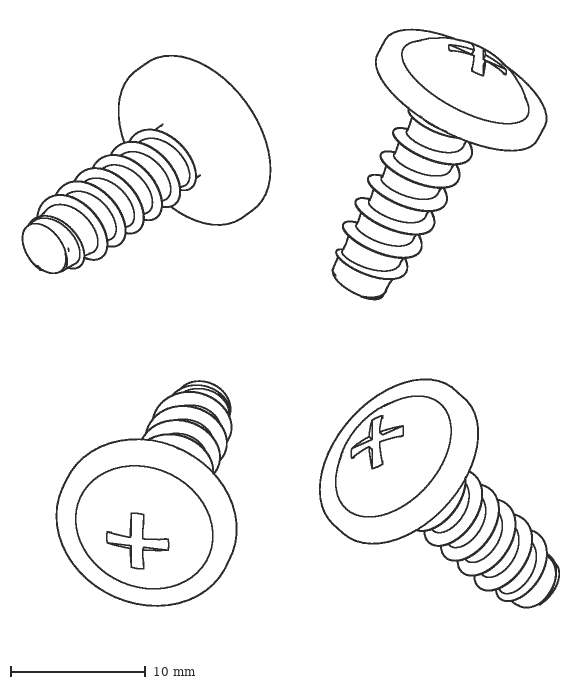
import cadquery as cq
import math


flange_diameter = 13.5
flange_thickness = 1.45
flange_edge_radius = 0.1
dome_height = 2.5
dome_base_radius = 5.25
slot_width = 0.95
slot_depth = 0.43

shank_length = 16.95
neck_radius = 2.35
neck_fillet = 0.84
neck_end = 1.45
neck_taper_length = 0.95
core_radius = 2.13
tip_radius = 2.04
tip_taper_length = 0.35
tip_cone_height = 0.04

pitch = 2.145
crest_radius = 3.0
crest_width = 0.06
knee_radius = 2.55
shoulder_radius = 2.31
sunk_radius = 2.10
buried_radius = 1.85
flank_start = 0.48
knee_offset = 0.20
shoulder_offset = 0.27
shoulder_end = 1.47
reference_depth = 2.53

thread_first_turn = -0.75
full_height_first_turn = 0.5
full_height_last_turn = 5.25
fade_last_turn = 6.6
turn_count = 8
samples_per_turn = 32
start_height = 0.2
end_height = 0.03


def make_head():
    flange = (
        cq.Workplane("XZ")
        .circle(flange_diameter / 2)
        .extrude(-flange_thickness)
        .edges()
        .fillet(flange_edge_radius)
    )
    sphere_radius = (dome_base_radius**2 + dome_height**2) / (2 * dome_height)
    apex_y = flange_thickness + dome_height
    mid_angle = math.asin(dome_base_radius / sphere_radius) / 2
    mid_point = (
        sphere_radius * math.sin(mid_angle),
        apex_y - sphere_radius * (1 - math.cos(mid_angle)),
    )
    overlap_y = flange_thickness / 2
    dome = (
        cq.Workplane("XY")
        .moveTo(0, overlap_y)
        .lineTo(dome_base_radius, overlap_y)
        .lineTo(dome_base_radius, flange_thickness)
        .threePointArc(mid_point, (0, apex_y))
        .close()
        .revolve(360, (0, 0, 0), (0, 1, 0))
    )
    slot_length = 2 * dome_base_radius
    slot_center = (0, apex_y, 0)
    slot_x = cq.Workplane("XY").box(slot_length, 2 * slot_depth, slot_width).translate(slot_center)
    slot_z = cq.Workplane("XY").box(slot_width, 2 * slot_depth, slot_length).translate(slot_center)
    return flange.union(dome).cut(slot_x).cut(slot_z)


def make_core():
    overlap_y = flange_thickness / 2
    fillet_outer = neck_radius + neck_fillet
    fillet_inset = neck_fillet * (1 - math.sqrt(0.5))
    return (
        cq.Workplane("XY")
        .moveTo(0, overlap_y)
        .lineTo(fillet_outer, overlap_y)
        .lineTo(fillet_outer, 0)
        .threePointArc((neck_radius + fillet_inset, -fillet_inset), (neck_radius, -neck_fillet))
        .lineTo(neck_radius, -neck_end)
        .lineTo(core_radius, -neck_end - neck_taper_length)
        .lineTo(core_radius, -shank_length + tip_taper_length)
        .lineTo(tip_radius, -shank_length)
        .lineTo(0, -shank_length - tip_cone_height)
        .close()
        .revolve(360, (0, 0, 0), (0, 1, 0))
    )


def start_growth(turn):
    """Share of the full height that the thread has reached near the head."""
    progress = (turn - thread_first_turn) / (full_height_first_turn - thread_first_turn)
    return min(start_height + (1 - start_height) * progress, 1)


def tip_fade(turn):
    """Share of the full height that is left near the tip."""
    progress = (turn - full_height_last_turn) / (fade_last_turn - full_height_last_turn)
    return min(max(1 - progress, end_height), 1)


def ridge_section(turn):
    """Corners of the ridge section as (radius, distance from the crest towards the tip)."""
    fade = tip_fade(turn)
    height = start_growth(turn) * fade
    shoulder = core_radius + fade * (shoulder_radius - core_radius)
    crest = shoulder + height * (crest_radius - shoulder_radius)
    knee = core_radius + height * (knee_radius - core_radius)
    half_crest = crest_width / 2
    return [
        (buried_radius, -flank_start * height),
        (sunk_radius, -flank_start * height),
        (knee, -knee_offset * height),
        (crest, -half_crest * height),
        (crest, half_crest * height),
        (shoulder, shoulder_offset * height),
        (sunk_radius, shoulder_end),
        (buried_radius, shoulder_end),
    ]


def ridge_corners(turn):
    angle = 2 * math.pi * turn
    crest_y = -reference_depth - pitch * turn
    return [
        cq.Vector(radius * math.cos(angle), crest_y - offset, radius * math.sin(angle))
        for radius, offset in ridge_section(turn)
    ]


def make_turn_faces(first_turn):
    """Side faces of one full turn of the ridge."""
    turns = [first_turn + step / samples_per_turn for step in range(samples_per_turn + 1)]
    corner_paths = zip(*[ridge_corners(turn) for turn in turns])
    edges = [cq.Edge.makeSpline(list(path), parameters=turns) for path in corner_paths]
    next_edges = edges[1:] + edges[:1]
    return [cq.Face.makeRuledSurface(a, b) for a, b in zip(edges, next_edges)]


def make_end_face(turn):
    return cq.Face.makeFromWires(cq.Wire.makePolygon(ridge_corners(turn), close=True))


def make_ridge():
    faces = [make_end_face(thread_first_turn), make_end_face(thread_first_turn + turn_count)]
    for turn in range(turn_count):
        faces += make_turn_faces(thread_first_turn + turn)
    ridge = cq.Workplane(obj=cq.Solid.makeSolid(cq.Shell.makeShell(faces)))
    threaded_zone = (
        cq.Workplane("XZ", origin=(0, -neck_end, 0))
        .circle(2 * crest_radius)
        .extrude(shank_length - neck_end)
    )
    return threaded_zone.intersect(ridge)


result = make_head().union(make_core()).union(make_ridge()).solids()